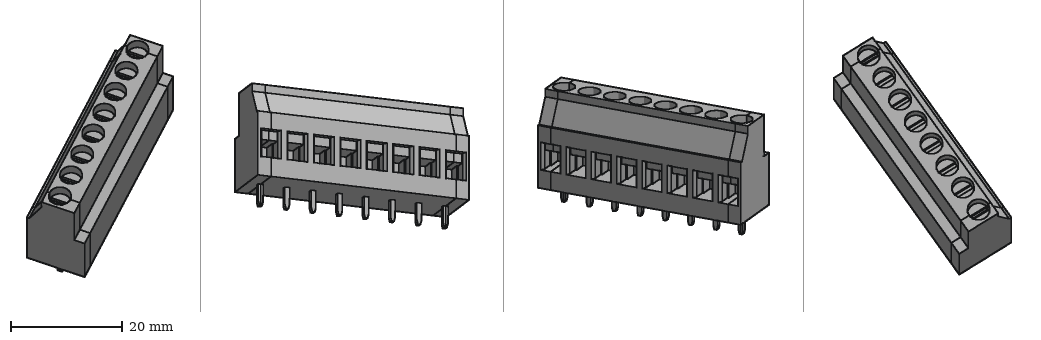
import cadquery as cq

pole_count = 8
pole_pitch = 5.1
block_length = pole_count * pole_pitch

block_depth = 11.2
block_height = 18.0
wire_face_height = 12.0
wire_ledge_depth = 0.5
top_front_x = 2.85
slope_top_height = 16.5
top_back_x = 9.23
rear_step_height = 10.0

screw_x = 5.35
well_diameter = 4.0
well_depth = 2.0
slot_width = 0.8
slot_depth = 0.6

entry_floor = 3.55
entry_top = 8.8
entry_mouth_width = 4.0
entry_width = 3.13
mouth_taper_depth = 0.7
entry_depth = 1.05
clamp_top = 7.07
clamp_mouth_depth = 2.8
clamp_width = 2.6
clamp_depth = screw_x

pin_x = 5.45
pin_thickness = 0.9
pin_width = 0.9
pin_length = 4.0
pin_tip_height = 0.75
pin_tip_width = 0.5

pole_positions = [(i - (pole_count - 1) / 2) * pole_pitch for i in range(pole_count)]
joint_y = pole_positions[-1]


def box_between(x_range, y_range, z_range):
    """Solid box spanning the given (low, high) ranges."""
    sizes = [high - low for low, high in (x_range, y_range, z_range)]
    corner = (x_range[0], y_range[0], z_range[0])
    return cq.Workplane("XY").box(*sizes, centered=False).translate(corner)


def block_section(y_low, y_high):
    """Plain length of the block between two Y positions."""
    outline = [
        (0, 0),
        (block_depth, 0),
        (block_depth, rear_step_height),
        (top_back_x, rear_step_height),
        (top_back_x, block_height),
        (top_front_x, block_height),
        (top_front_x, slope_top_height),
        (wire_ledge_depth, wire_face_height),
        (0, wire_face_height),
    ]
    return (
        cq.Workplane("XZ", origin=(0, y_high, 0))
        .polyline(outline)
        .close()
        .extrude(y_high - y_low)
    )


def screw_well(y):
    """Round well with a screwdriver slot cut across its floor."""
    floor_z = block_height - well_depth
    slot_z = floor_z - slot_depth
    radius = well_diameter / 2
    well = cq.Workplane("XY", origin=(screw_x, y, slot_z)).circle(radius).extrude(well_depth + slot_depth)
    well_span = (screw_x - radius, screw_x + radius)
    for side in (-1, 1):
        head_span = sorted((y + side * slot_width / 2, y + side * radius))
        well = well.cut(box_between(well_span, head_span, (slot_z, floor_z)))
    return well


def wire_entry(y):
    """Wire opening: tapered mouth, straight throat and a lower two-step clamp recess."""
    mouth_half = entry_mouth_width / 2
    throat_half = entry_width / 2
    clamp_half = clamp_width / 2
    throat_outline = [
        (0, y - mouth_half),
        (mouth_taper_depth, y - throat_half),
        (entry_depth, y - throat_half),
        (entry_depth, y + throat_half),
        (mouth_taper_depth, y + throat_half),
        (0, y + mouth_half),
    ]
    throat = (
        cq.Workplane("XY", origin=(0, 0, entry_floor))
        .polyline(throat_outline)
        .close()
        .extrude(entry_top - entry_floor)
    )
    clamp_z = (entry_floor, clamp_top)
    clamp_mouth = box_between((entry_depth, clamp_mouth_depth), (y - throat_half, y + throat_half), clamp_z)
    clamp = box_between((clamp_mouth_depth, clamp_depth), (y - clamp_half, y + clamp_half), clamp_z)
    return throat.union(clamp_mouth).union(clamp)


def solder_pin(y):
    """Square pin whose tip narrows along Y."""
    shoulder_z = pin_tip_height - pin_length
    outline = [
        (y - pin_width / 2, 0),
        (y - pin_width / 2, shoulder_z),
        (y - pin_tip_width / 2, -pin_length),
        (y + pin_tip_width / 2, -pin_length),
        (y + pin_width / 2, shoulder_z),
        (y + pin_width / 2, 0),
    ]
    front_x = pin_x - pin_thickness / 2
    return cq.Workplane("YZ", origin=(front_x, 0, 0)).polyline(outline).close().extrude(pin_thickness)


def terminal_section(y_low, y_high):
    """One body of the terminal block with its share of the wells, entries and pins."""
    section = block_section(y_low, y_high)
    slab = box_between((0, block_depth), (y_low, y_high), (-pin_length, block_height))
    for y in pole_positions:
        if y_low <= y <= y_high:
            section = section.cut(screw_well(y)).cut(wire_entry(y))
            section = section.union(solder_pin(y).intersect(slab))
    return section


near_end = terminal_section(-block_length / 2, -joint_y)
middle = terminal_section(-joint_y, joint_y)
far_end = terminal_section(joint_y, block_length / 2)

result = cq.Compound.makeCompound([near_end.val(), middle.val(), far_end.val()])